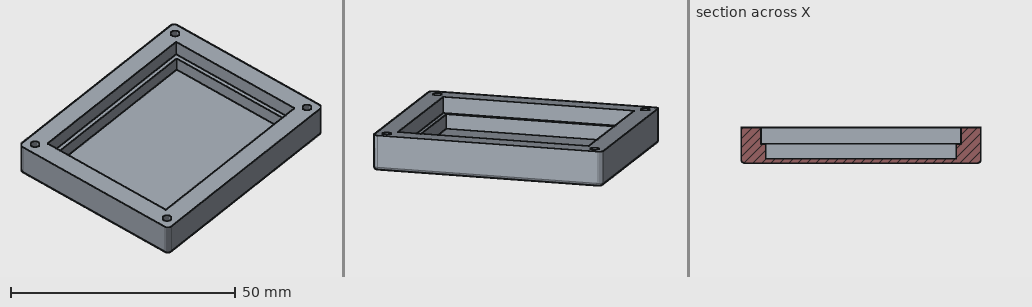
import cadquery as cq

width = 43.5
length = 53.5
height = 8.0
corner_radius = 1.0
bottom_edge_radius = 0.8

rim_width = 4.5
ledge_width = 1.0
ledge_depth = 3.7
cavity_depth = 7.0

screw_diameter = 2.0
screw_inset = 2.5


def tray_blank():
    """Solid block with rounded upright corners and a rounded bottom edge."""
    block = cq.Workplane("XY").box(width, length, height, centered=(True, True, False))
    return block.edges("|Z").fillet(corner_radius).faces("<Z").edges().fillet(bottom_edge_radius)


def pocket(wall, depth):
    """Rectangular cutter sunk from the rim, leaving the given wall all round."""
    return (
        cq.Workplane("XY", origin=(0, 0, height - depth))
        .rect(width - 2 * wall, length - 2 * wall)
        .extrude(depth)
    )


def screw_holes():
    """Cutters for the four through holes in the corners."""
    spacing_x = width - 2 * screw_inset
    spacing_y = length - 2 * screw_inset
    return (
        cq.Workplane("XY")
        .rarray(spacing_x, spacing_y, 2, 2)
        .circle(screw_diameter / 2)
        .extrude(height)
    )


result = (
    tray_blank()
    .cut(pocket(rim_width, ledge_depth))
    .cut(pocket(rim_width + ledge_width, cavity_depth))
    .cut(screw_holes())
)